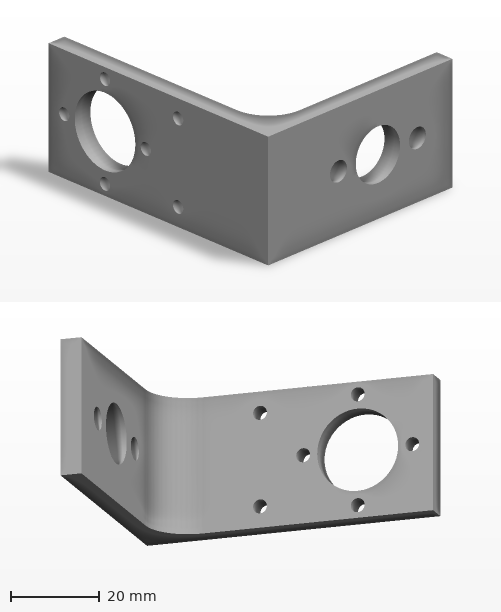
import cadquery as cq

length = 70.0
depth = 58.5
height = 32.0
wall = 5.0
inner_radius = 10.0
mid_height = height / 2

long_bore_diameter = 19.3
long_bore_x = 18.0
screw_diameter = 3.3
screw_circle_radius = 13.0

pair_x = 41.3
pair_offset = 11.0

short_bore_diameter = 14.1
short_bore_y = 34.85
bolt_diameter = 5.4
bolt_offset = 12.5


def hole_along_y(x, z, diameter):
    """Cutter through the long leg only."""
    circle = cq.Workplane("XZ", origin=(x, 0, z)).circle(diameter / 2)
    return circle.extrude(-wall)


def hole_along_x(y, z, diameter):
    """Cutter through the short leg only."""
    circle = cq.Workplane("YZ", origin=(length - wall, y, z)).circle(diameter / 2)
    return circle.extrude(wall)


inner_x = length - wall
bracket = (
    cq.Workplane("XY")
    .moveTo(0, 0)
    .lineTo(length, 0)
    .lineTo(length, depth)
    .lineTo(inner_x, depth)
    .lineTo(inner_x, wall + inner_radius)
    .radiusArc((inner_x - inner_radius, wall), inner_radius)
    .lineTo(0, wall)
    .close()
    .extrude(height)
)

bracket = bracket.cut(hole_along_y(long_bore_x, mid_height, long_bore_diameter))
for side in (-1, 1):
    screw_shift = side * screw_circle_radius
    bracket = bracket.cut(hole_along_y(long_bore_x + screw_shift, mid_height, screw_diameter))
    bracket = bracket.cut(hole_along_y(long_bore_x, mid_height + screw_shift, screw_diameter))
    bracket = bracket.cut(hole_along_y(pair_x, mid_height + side * pair_offset, screw_diameter))

bracket = bracket.cut(hole_along_x(short_bore_y, mid_height, short_bore_diameter))
for side in (-1, 1):
    bracket = bracket.cut(hole_along_x(short_bore_y + side * bolt_offset, mid_height, bolt_diameter))

result = bracket